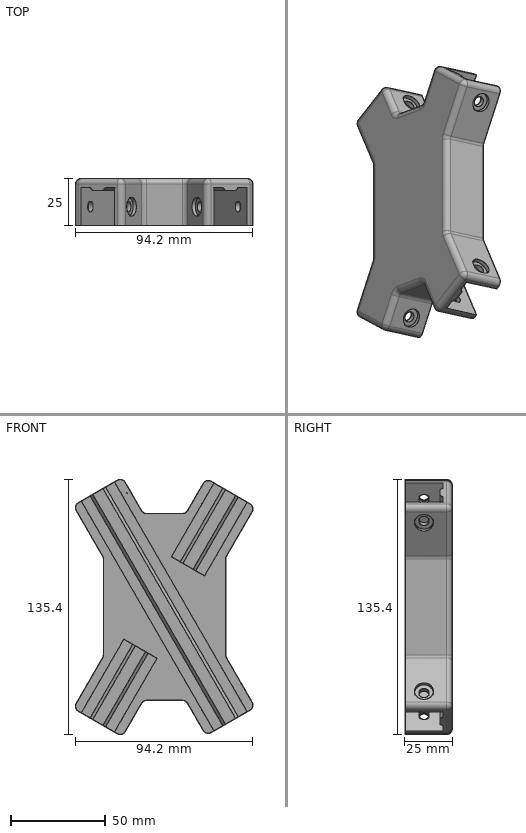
import cadquery as cq
import math

overall_height = 135.4
short_arm_cut = 0.7
depth = 25.0
hub_width = 65.0
hub_height = 99.3
arm_angle = 60.0
arm_width = 30.0
edge_radius = 3.1

channel_width = 20.3
wall = (arm_width - channel_width) / 2
channel_depth = depth - wall
blind_channel_length = 45.2

ridge_height = 1.6
ridge_top_width = 6.2
ridge_base_width = ridge_top_width + 2 * ridge_height

hole_diameter = 5.5
counterbore_diameter = 10.0
counterbore_depth = 2.0
hole_from_tip = 9.9
hole_from_front = 10.0

sine = math.sin(math.radians(arm_angle))
cosine = math.cos(math.radians(arm_angle))
tip_centre_height = overall_height / 2 - edge_radius
tip_centre_offset = arm_width / 2 - edge_radius
long_reach = edge_radius + (tip_centre_height - tip_centre_offset * cosine) / sine
short_reach = long_reach - short_arm_cut


def turned(solid, angle):
    """Swing a solid built along +X up toward +Z about the Y axis."""
    return solid.rotate((0, 0, 0), (0, 1, 0), -angle)


def make_body():
    """Hub and two crossed bars, front face at Y = 0, rounded outside edges."""
    body = cq.Workplane("XY").box(hub_width, depth, hub_height)
    for angle in (arm_angle, -arm_angle):
        bar = cq.Workplane("XY").box(long_reach + short_reach, depth, arm_width)
        bar = bar.translate(((short_reach - long_reach) / 2, 0, 0))
        body = body.union(turned(bar, angle))
    body = body.translate((0, depth / 2, 0))
    body = body.edges("|Y").fillet(edge_radius)
    return body.faces(">Y").edges().fillet(edge_radius)


def make_channel(start, end):
    """Cutter for a channel along X that leaves a tapered ridge on its floor."""
    half_width = channel_width / 2
    half_base = ridge_base_width / 2
    half_top = ridge_top_width / 2
    ridge_top = channel_depth - ridge_height
    return (
        cq.Workplane("YZ", origin=(start, 0, 0))
        .moveTo(0, -half_width)
        .lineTo(channel_depth, -half_width)
        .lineTo(channel_depth, -half_base)
        .lineTo(ridge_top, -half_top)
        .lineTo(ridge_top, half_top)
        .lineTo(channel_depth, half_base)
        .lineTo(channel_depth, half_width)
        .lineTo(0, half_width)
        .close()
        .extrude(end - start)
    )


def make_screw_holes(reach):
    """Cutter for the hole across an arm of this reach, counterbored on both outer sides."""
    centre = (reach - hole_from_tip, hole_from_front)
    cutter = (
        cq.Workplane("XY", origin=(0, 0, -arm_width / 2))
        .center(*centre)
        .circle(hole_diameter / 2)
        .extrude(arm_width)
    )
    for bottom in (-arm_width / 2, arm_width / 2 - counterbore_depth):
        counterbore = (
            cq.Workplane("XY", origin=(0, 0, bottom))
            .center(*centre)
            .circle(counterbore_diameter / 2)
            .extrude(counterbore_depth)
        )
        cutter = cutter.union(counterbore)
    return cutter


result = make_body()

through_channel = make_channel(-long_reach, short_reach)
result = result.cut(turned(through_channel, -arm_angle))
long_arm_channel = make_channel(-long_reach, blind_channel_length - long_reach)
short_arm_channel = make_channel(short_reach - blind_channel_length, short_reach)
for channel in (long_arm_channel, short_arm_channel):
    result = result.cut(turned(channel, arm_angle))

long_arm_holes = make_screw_holes(long_reach)
short_arm_holes = make_screw_holes(short_reach)
for angle in (arm_angle, -arm_angle):
    result = result.cut(turned(short_arm_holes, angle))
    result = result.cut(turned(long_arm_holes, angle + 180))